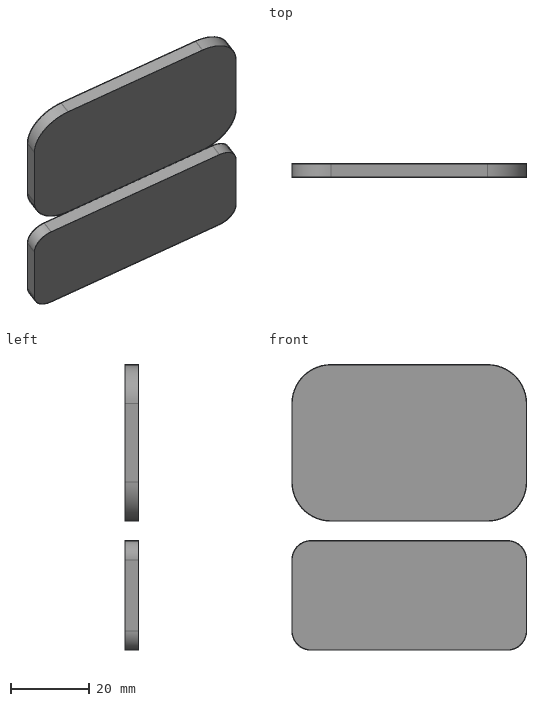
import cadquery as cq

plate_width = 60.0
plate_thickness = 3.5
total_height = 73.0

upper_height = 40.0
upper_corner_radius = 10.0

lower_height = 28.0
lower_corner_radius = 5.0


def rounded_plate(height, corner_radius, bottom_z):
    """Flat upright plate with rounded corners, its back face on the XZ plane."""
    return (
        cq.Workplane("XY")
        .box(plate_width, plate_thickness, height, centered=(True, False, False))
        .edges("|Y")
        .fillet(corner_radius)
        .translate((0, -plate_thickness, bottom_z))
    )


lower_plate = rounded_plate(lower_height, lower_corner_radius, 0)
upper_plate = rounded_plate(upper_height, upper_corner_radius, total_height - upper_height)

result = cq.Compound.makeCompound([upper_plate.val(), lower_plate.val()])